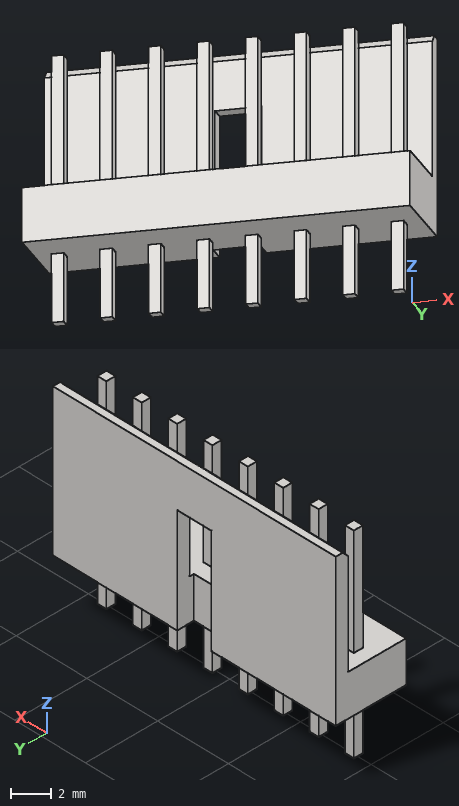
import cadquery as cq

length = 20.0
depth = 4.9
base_height = 2.88
pin_to_back = 2.5

wall_top = 10.4
wall_thickness = 0.88
chamfer_depth = 0.35
chamfer_height = 0.42

pin_count = 8
pin_pitch = 2.5
pin_width = 0.65
pin_tail = 3.6

window_width = 2.4
window_top = 7.4
window_depth = 1.15

back = pin_to_back
front = back - depth
wall_front = back - wall_thickness


def make_housing():
    """L-shaped base and back wall, with the wall's inner top edge chamfered."""
    profile = [
        (front, 0),
        (back, 0),
        (back, wall_top),
        (wall_front + chamfer_depth, wall_top),
        (wall_front, wall_top - chamfer_height),
        (wall_front, base_height),
        (front, base_height),
    ]
    return cq.Workplane("YZ").polyline(profile).close().extrude(length / 2, both=True)


def make_window():
    """Opening through the wall that continues down through the base as a shallow notch."""
    return (
        cq.Workplane("XY")
        .center(0, back - window_depth / 2)
        .rect(window_width, window_depth)
        .extrude(window_top)
    )


def make_pins():
    """Row of square pins passing through the base, level with the wall top."""
    return (
        cq.Workplane("XY")
        .workplane(offset=-pin_tail)
        .rarray(pin_pitch, 0.2, pin_count, 1)
        .rect(pin_width, pin_width)
        .extrude(pin_tail + wall_top)
    )


result = make_housing().cut(make_window()).union(make_pins())